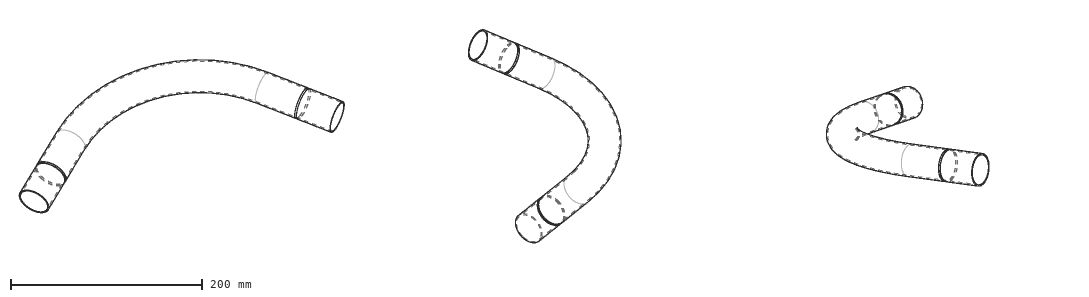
import cadquery as cq

overall_length = 254.0
outer_diameter = 34.5
wall_thickness = 1.5
straight_length = 86.5
groove_offset = 38.9
groove_width = 2.0
groove_depth = 0.5

outer_radius = outer_diameter / 2
inner_radius = outer_radius - wall_thickness
groove_radius = outer_radius - groove_depth
bend_radius = overall_length - outer_radius - straight_length
leg_length = bend_radius + straight_length

y_leg_end = cq.Plane(origin=(0, -leg_length, 0), xDir=(1, 0, 0), normal=(0, 1, 0))
x_leg_end = cq.Plane(origin=(leg_length, 0, 0), xDir=(0, 1, 0), normal=(-1, 0, 0))


def bent_tube():
    """Constant-section tube: straight leg, quarter-turn bend, straight leg."""
    centreline = (
        cq.Workplane("XY")
        .moveTo(0, -leg_length)
        .lineTo(0, -bend_radius)
        .radiusArc((bend_radius, 0), bend_radius)
        .lineTo(leg_length, 0)
    )
    section = cq.Workplane(y_leg_end).circle(outer_radius).circle(inner_radius)
    return section.sweep(centreline)


def groove_cutter(end_plane):
    """Ring that cuts a shallow groove around the leg starting at end_plane."""
    return (
        cq.Workplane(end_plane)
        .workplane(offset=groove_offset)
        .circle(outer_diameter)
        .circle(groove_radius)
        .extrude(groove_width)
    )


result = bent_tube()
for end_plane in (y_leg_end, x_leg_end):
    result = result.cut(groove_cutter(end_plane))